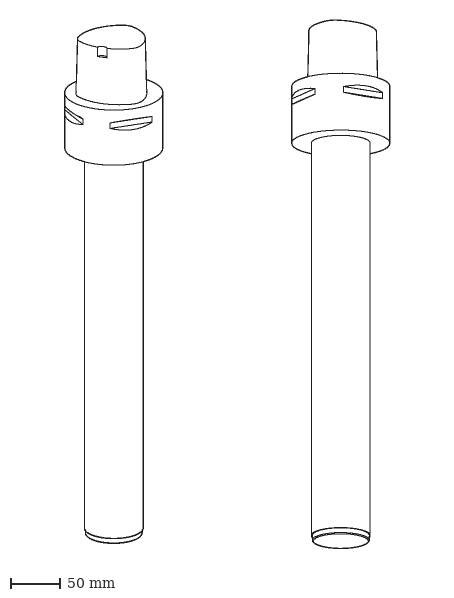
import cadquery as cq
import math

flange_diameter = 100.0
flange_height = 60.0

shaft_diameter = 60.0
shaft_length = 420.0
tip_diameter = 58.0
tip_length = 6.0
tip_chamfer = 1.0

taper_height = 60.0
taper_per_side = 1 / 40
mean_radius = 36.1
lobe_height = 2.6
lobe_angles = (90, 210, 330)
lobe_to_flank = 60
lobe_center_distance = 22.5

notch_radius = 5.6
notch_depth = 10.0
notch_center_y = -33.6

groove_count = 4
groove_first_angle = 45.0
groove_center_z = -17.0
groove_floor_height = 6.0
groove_floor_distance = 44.3
groove_flare = 2.7


def polar(distance, angle):
    """Point at a distance from the axis, in the direction of an angle in degrees."""
    radians = math.radians(angle)
    return distance * math.cos(radians), distance * math.sin(radians)


def polygon_outline(plane_z, inset):
    """Closed outline of six tangent arcs: three lobes and three flanks, moved inward by inset."""
    lobe_tip = mean_radius + lobe_height - inset
    flank_middle = mean_radius - lobe_height - inset
    rise = lobe_tip - flank_middle

    flank_center_distance = (
        rise * (2 * lobe_center_distance - rise) / (lobe_center_distance - 2 * rise)
    )
    lobe_radius = lobe_tip - lobe_center_distance

    half_span = math.degrees(
        math.atan2(
            flank_center_distance * math.sin(math.radians(lobe_to_flank)),
            lobe_center_distance + flank_center_distance * math.cos(math.radians(lobe_to_flank)),
        )
    )

    def lobe_end(lobe_angle, side):
        """Joint of a lobe arc with the flank arc on one side of it, -1 or 1."""
        center_x, center_y = polar(lobe_center_distance, lobe_angle)
        offset_x, offset_y = polar(lobe_radius, lobe_angle + side * half_span)
        return center_x + offset_x, center_y + offset_y

    outline = cq.Workplane("XY").workplane(offset=plane_z).moveTo(*lobe_end(lobe_angles[0], -1))
    for lobe_angle in lobe_angles:
        outline = outline.threePointArc(polar(lobe_tip, lobe_angle), lobe_end(lobe_angle, 1))
        outline = outline.threePointArc(
            polar(flank_middle, lobe_angle + lobe_to_flank),
            lobe_end(lobe_angle + 2 * lobe_to_flank, -1),
        )
    return outline.close().wire().val()


def make_shaft_and_flange():
    """Turned body: flange, shaft and shaft tip."""
    bottom_z = -flange_height - shaft_length
    return (
        cq.Workplane("XZ")
        .moveTo(0, 0)
        .lineTo(flange_diameter / 2, 0)
        .lineTo(flange_diameter / 2, -flange_height)
        .lineTo(shaft_diameter / 2, -flange_height)
        .lineTo(shaft_diameter / 2, bottom_z + tip_length)
        .lineTo(tip_diameter / 2, bottom_z + tip_length)
        .lineTo(tip_diameter / 2, bottom_z + tip_chamfer)
        .lineTo(tip_diameter / 2 - tip_chamfer, bottom_z)
        .lineTo(0, bottom_z)
        .close()
        .revolve(360, (0, 0, 0), (0, 1, 0))
    )


def make_taper():
    """Polygon taper that narrows upward."""
    base = polygon_outline(0, 0)
    top = polygon_outline(taper_height, taper_height * taper_per_side)
    return cq.Workplane(cq.Solid.makeLoft([base, top], True))


def make_notch():
    """Upright cylinder that cuts the notch."""
    return (
        cq.Workplane("XY")
        .workplane(offset=taper_height - notch_depth)
        .center(0, notch_center_y)
        .circle(notch_radius)
        .extrude(notch_depth)
    )


def make_groove(angle):
    """Straight cutter with a flat floor and flared sides, facing the given direction."""
    flange_radius = flange_diameter / 2
    floor_half = groove_floor_height / 2
    mouth_half = floor_half + groove_flare
    return (
        cq.Workplane("XZ")
        .polyline([
            (groove_floor_distance, groove_center_z - floor_half),
            (flange_radius, groove_center_z - mouth_half),
            (flange_radius, groove_center_z + mouth_half),
            (groove_floor_distance, groove_center_z + floor_half),
        ])
        .close()
        .extrude(flange_radius, both=True)
        .rotate((0, 0, 0), (0, 0, 1), angle)
    )


result = make_shaft_and_flange().union(make_taper()).cut(make_notch())
for index in range(groove_count):
    result = result.cut(make_groove(groove_first_angle + index * 360 / groove_count))